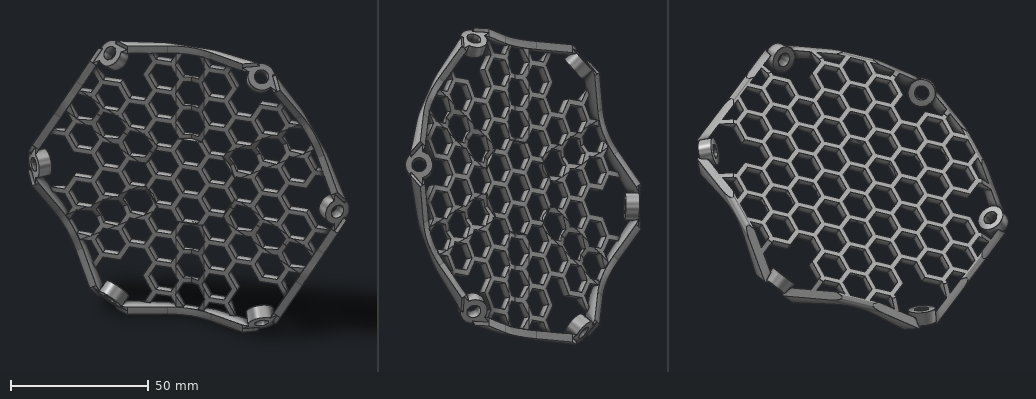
import cadquery as cq
import math


SIDES = 6
PITCH_ANGLE = 360 / SIDES
COS_30 = math.cos(math.radians(30))
ACROSS_FLATS = 110.0
APOTHEM = ACROSS_FLATS / 2
HALF_SIDE = APOTHEM / math.sqrt(3)
RIM_WIDTH = 3.0
RIM_INNER = APOTHEM - RIM_WIDTH
BACK_EDGE_RADIUS = 2.0

PLATE_DEPTH = 3.0
WALL = 2.0
CELLS_TO_RIM = 4
CELL_PITCH = (RIM_INNER + WALL / 2) / (CELLS_TO_RIM + 0.5)
COLUMN_PITCH = CELL_PITCH * COS_30
HOLE_FLATS = CELL_PITCH - WALL
LATTICE_STEPS = 6
CLEARANCE_COLUMN = 5
CLEARANCE_CENTRE = CLEARANCE_COLUMN * COLUMN_PITCH
CLEARANCE_RADIUS = CELL_PITCH

GROOVE_START = 17.0
GROOVE_HALF_WIDTH = 5.4
FRONT_SLOPE = math.radians(19.5)
GROOVE_FLOOR = PLATE_DEPTH - GROOVE_HALF_WIDTH * math.tan(FRONT_SLOPE)

CREST_RADIUS = 25.0
CREST_DEPTH = GROOVE_FLOOR + CREST_RADIUS * (1 / math.cos(FRONT_SLOPE) - 1)
ARC_END = CREST_RADIUS * math.sin(FRONT_SLOPE)
ARC_END_DEPTH = GROOVE_FLOOR + ARC_END * math.tan(FRONT_SLOPE)
RIM_MAX_DEPTH = 8.9
PEAK = (RIM_MAX_DEPTH - GROOVE_FLOOR) / math.tan(FRONT_SLOPE)
RIM_END = RIM_INNER / math.sqrt(3)

BEVEL_START = 49.3
BEVEL_ANGLE = math.radians(27.5)

BOSS_RADIUS = 5.0
BOSS_LENGTH = 5.0
BORE_RADIUS = 2.55
BOSS_TILT = math.radians(41.8)
ACROSS_BOSSES = 123.23
TOTAL_DEPTH = 11.63
FACE_X = ACROSS_BOSSES / 2 - BOSS_RADIUS * math.sin(BOSS_TILT)
FACE_DEPTH = TOTAL_DEPTH - BOSS_RADIUS * math.cos(BOSS_TILT)

LIP_END = 27.6
LIP_SLOPE = math.cos(math.radians(PITCH_ANGLE)) / math.tan(BOSS_TILT)


def six_around(shape):
    """Union of six copies of a shape spaced evenly around the Y axis."""
    copies = shape
    for i in range(1, SIDES):
        copies = copies.union(shape.rotate((0, 0, 0), (0, 1, 0), i * PITCH_ANGLE))
    return copies


def hexagon_prism(across_flats, depth, centres=((0, 0),)):
    """Hexagonal prisms from the back face forward, with flats facing +Z and -Z."""
    diameter = across_flats / COS_30
    return cq.Workplane("XZ").pushPoints(centres).polygon(SIDES, diameter).extrude(depth)


def near_corner(x, z):
    """True for a cell centre inside the open clearance around a boss."""
    for i in range(SIDES):
        angle = math.radians(i * PITCH_ANGLE)
        dx = x - CLEARANCE_CENTRE * math.cos(angle)
        dz = z - CLEARANCE_CENTRE * math.sin(angle)
        if math.hypot(dx, dz) < CLEARANCE_RADIUS:
            return True
    return False


def cell_centres():
    """Centres of all honeycomb cells that keep their walls."""
    centres = []
    for column in range(-LATTICE_STEPS, LATTICE_STEPS + 1):
        for row in range(-LATTICE_STEPS, LATTICE_STEPS + 1):
            x = column * COLUMN_PITCH
            z = (row + (column % 2) / 2) * CELL_PITCH
            reach = max(abs(z), abs(x) * COS_30 + abs(z) / 2)
            if reach < APOTHEM and not near_corner(x, z):
                centres.append((x, z))
    return centres


def honeycomb():
    """Cell walls of the plate, trimmed to the inside of the rim."""
    centres = cell_centres()
    cells = None
    for centre in centres:
        cell = hexagon_prism(CELL_PITCH + WALL, PLATE_DEPTH, [centre])
        cells = cell if cells is None else cells.union(cell)
    cells = cells.cut(hexagon_prism(HOLE_FLATS, PLATE_DEPTH, centres))
    return cells.intersect(hexagon_prism(2 * RIM_INNER, PLATE_DEPTH))


def groove():
    """V-groove cut in the plate from near its middle to one side."""
    return (
        cq.Workplane("XY", origin=(0, 0, GROOVE_START))
        .moveTo(0, -GROOVE_FLOOR)
        .lineTo(GROOVE_HALF_WIDTH, -PLATE_DEPTH)
        .lineTo(-GROOVE_HALF_WIDTH, -PLATE_DEPTH)
        .close()
        .extrude(RIM_INNER - GROOVE_START)
    )


def lip_points():
    """Ends of the lip that slopes back from the peak, parallel to the boss face plane."""
    end_depth = RIM_MAX_DEPTH - (LIP_END - PEAK) * LIP_SLOPE
    return [(LIP_END, end_depth), (LIP_END, 0)]


def rim_side(end_points):
    """One side of the rim; end_points close the profile beyond its peak."""
    right = [(PEAK, RIM_MAX_DEPTH)] + end_points
    left = [(-along, depth) for along, depth in reversed(right)]
    profile = cq.Workplane("XY", origin=(0, 0, RIM_INNER))
    profile = profile.moveTo(-ARC_END, -ARC_END_DEPTH)
    profile = profile.threePointArc((0, -CREST_DEPTH), (ARC_END, -ARC_END_DEPTH))
    for along, depth in right + left:
        profile = profile.lineTo(along, -depth)
    return profile.close().extrude(RIM_WIDTH)


def envelope():
    """Hexagonal block with a rounded back edge and a planar bevel behind each corner."""
    block = hexagon_prism(ACROSS_FLATS, TOTAL_DEPTH).faces(">Y").edges().fillet(BACK_EDGE_RADIUS)
    bevel_run = ACROSS_FLATS - BEVEL_START
    bevel = (
        cq.Workplane("XY", origin=(BEVEL_START, 0, 0))
        .lineTo(bevel_run, 0)
        .lineTo(bevel_run, -bevel_run * math.tan(BEVEL_ANGLE))
        .close()
        .extrude(HALF_SIDE, both=True)
    )
    return block.cut(six_around(bevel))


def boss_face_plane():
    """Plane of the outer boss face at the +X corner, with its normal along the boss axis."""
    outward = (math.cos(BOSS_TILT), -math.sin(BOSS_TILT), 0)
    return cq.Plane(origin=(FACE_X, -FACE_DEPTH, 0), xDir=(0, 0, 1), normal=outward)


def rim():
    """Wavy rim: sides ending in a lip, plus corner material trimmed flush with the boss faces."""
    trim = cq.Workplane(boss_face_plane()).rect(APOTHEM / 2, APOTHEM / 2).extrude(TOTAL_DEPTH)
    corner_side = rim_side([(RIM_END, RIM_MAX_DEPTH), (RIM_END, 0)]).cut(six_around(trim))
    side = rim_side(lip_points()).union(corner_side).intersect(envelope())
    return six_around(side)


def boss(radius):
    """Cylinder on the boss axis at the +X corner, used for the boss and for its bore."""
    return cq.Workplane(boss_face_plane()).circle(radius).extrude(-BOSS_LENGTH)


plate = honeycomb().cut(six_around(groove())).intersect(envelope())
panel = plate.union(rim())
bosses = six_around(boss(BOSS_RADIUS))
bores = six_around(boss(BORE_RADIUS))
result = panel.union(bosses).cut(bores)